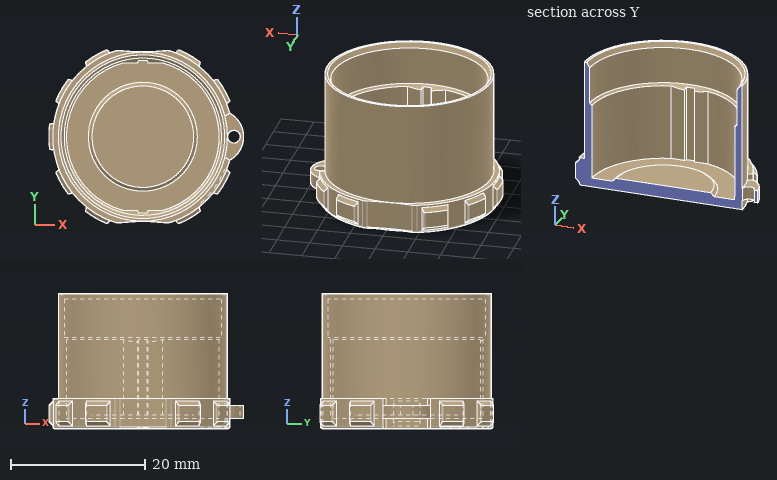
import cadquery as cq
import math

HEIGHT = 20.1
SLEEVE_RADIUS = 12.57
SOCKET_RADIUS = 11.7
RIM_RADIUS = 12.17
RIM_CHAMFER_HEIGHT = 0.8
BORE_RADIUS = 11.35
STEP_Z = 13.6
STEP_CONE_INNER_RADIUS = 10.0
FLOOR_Z = 1.5

DISC_BASE_RADIUS = 8.1
DISC_TOP_RADIUS = 7.55

PAD_DISTANCE = 10.97
KEYWAY_WIDTH = 1.26
KEYWAY_MOUTH_WIDTH = 1.6

RING_RADIUS = 13.4
RING_HEIGHT = 4.5
RING_BOTTOM_FILLET = 0.3
SCOOP_RADIUS = 30.0
SCOOP_DISTANCE = 12.62
SCOOP_EDGE_FILLET = 1.75

LUG_RADIUS = 14.0
LUG_ROOT_RADIUS = 13.0
LUG_ANGLES = [30, 60, 120, 150, 180, 210, 240, 300, 330]
LUG_HALF_WIDTH = 1.88
LUG_DRAFT = 10.0
LUG_BOTTOM_Z = 0.45
LUG_TOP_Z = 4.1
LUG_CORNER_FILLET = 0.15

TAB_CENTER_X = 11.0
TAB_RADIUS = 4.0
TAB_BOTTOM_Z = 1.5
TAB_TOP_Z = 3.5
TAB_HOLE_X = 13.54
TAB_HOLE_DIAMETER = 1.85
GAP_EDGE_ANGLE = 30.0


def cylinder(radius, z_bottom, z_top, x=0.0, y=0.0):
    return (
        cq.Workplane("XY", origin=(x, y, z_bottom))
        .circle(radius)
        .extrude(z_top - z_bottom)
    )


def gap_wedge():
    """Wedge open toward +X whose sides meet the tab outline on the ring's rim."""
    corner_x = (RING_RADIUS**2 + TAB_CENTER_X**2 - TAB_RADIUS**2) / (2 * TAB_CENTER_X)
    corner_y = math.sqrt(RING_RADIUS**2 - corner_x**2)
    slope = math.tan(math.radians(GAP_EDGE_ANGLE))
    apex_x = corner_x - corner_y / slope
    far_x = LUG_RADIUS + TAB_RADIUS
    far_y = (far_x - apex_x) * slope
    return (
        cq.Workplane("XY")
        .polyline([(apex_x, 0), (far_x, -far_y), (far_x, far_y)])
        .close()
        .extrude(RING_HEIGHT)
    )


def grip_ring():
    ring = cylinder(RING_RADIUS, 0, RING_HEIGHT)
    for side in (1, -1):
        scoop_y = side * (SCOOP_DISTANCE + SCOOP_RADIUS)
        ring = ring.cut(cylinder(SCOOP_RADIUS, 0, RING_HEIGHT, y=scoop_y))
    scoop_edges = cq.selectors.BoxSelector(
        (-SLEEVE_RADIUS, -RING_RADIUS, 0), (SLEEVE_RADIUS, RING_RADIUS, RING_HEIGHT)
    )
    ring = ring.edges("|Z").edges(scoop_edges).fillet(SCOOP_EDGE_FILLET)
    ring = ring.faces("<Z").edges().fillet(RING_BOTTOM_FILLET)
    return ring.cut(gap_wedge())


def lug():
    """One lug at +X: drafted sides, rounded outer face, 45 degree top and bottom."""
    spread = math.tan(math.radians(LUG_DRAFT))
    root_half_width = LUG_HALF_WIDTH + (LUG_RADIUS - LUG_ROOT_RADIUS) * spread
    corner_x = math.sqrt(LUG_RADIUS**2 - LUG_HALF_WIDTH**2)
    block = (
        cq.Workplane("XY", origin=(0, 0, LUG_BOTTOM_Z))
        .moveTo(LUG_ROOT_RADIUS, -root_half_width)
        .lineTo(corner_x, -LUG_HALF_WIDTH)
        .threePointArc((LUG_RADIUS, 0), (corner_x, LUG_HALF_WIDTH))
        .lineTo(LUG_ROOT_RADIUS, root_half_width)
        .close()
        .extrude(LUG_TOP_Z - LUG_BOTTOM_Z)
    )
    block = block.edges("|Z").edges(">X").fillet(LUG_CORNER_FILLET)
    rise = LUG_RADIUS - RING_RADIUS
    envelope = (
        cq.Workplane("XZ")
        .polyline([
            (0, LUG_BOTTOM_Z),
            (RING_RADIUS, LUG_BOTTOM_Z),
            (LUG_RADIUS, LUG_BOTTOM_Z + rise),
            (LUG_RADIUS, LUG_TOP_Z - rise),
            (RING_RADIUS, LUG_TOP_Z),
            (0, LUG_TOP_Z),
        ])
        .close()
        .revolve(360, (0, 0, 0), (0, 1, 0))
    )
    return block.intersect(envelope)


def keyed_pad(side):
    """Material left in the lower bore beyond the pad face, less the keyway."""
    pad = (
        cq.Workplane("XY", origin=(0, 0, FLOOR_Z))
        .rect(2 * BORE_RADIUS, 2 * (BORE_RADIUS - PAD_DISTANCE))
        .extrude(STEP_Z - FLOOR_Z)
        .translate((0, side * BORE_RADIUS, 0))
    )
    keyway = (
        cq.Workplane("XY", origin=(0, 0, FLOOR_Z))
        .polyline([
            (-KEYWAY_MOUTH_WIDTH / 2, side * PAD_DISTANCE),
            (KEYWAY_MOUTH_WIDTH / 2, side * PAD_DISTANCE),
            (KEYWAY_WIDTH / 2, side * BORE_RADIUS),
            (-KEYWAY_WIDTH / 2, side * BORE_RADIUS),
        ])
        .close()
        .extrude(STEP_Z - FLOOR_Z)
    )
    return pad.cut(keyway)


def socket_cavity():
    """Upper bore with its mouth chamfer, ending in the conical step.

    The cone runs on inward past the pad faces, so it also trims the pad tops.
    """
    cone_bottom_z = STEP_Z - (SOCKET_RADIUS - STEP_CONE_INNER_RADIUS)
    return (
        cq.Workplane("XZ")
        .polyline([
            (0, cone_bottom_z),
            (STEP_CONE_INNER_RADIUS, cone_bottom_z),
            (SOCKET_RADIUS, STEP_Z),
            (SOCKET_RADIUS, HEIGHT - RIM_CHAMFER_HEIGHT),
            (RIM_RADIUS, HEIGHT),
            (0, HEIGHT),
        ])
        .close()
        .revolve(360, (0, 0, 0), (0, 1, 0))
    )


def bore_cavity():
    """Lower bore from the floor up into the conical step, less pads and floor disc."""
    bore = cylinder(BORE_RADIUS, FLOOR_Z, STEP_Z)
    for side in (1, -1):
        bore = bore.cut(keyed_pad(side))
    disc_height = DISC_BASE_RADIUS - DISC_TOP_RADIUS
    disc = (
        cq.Workplane("XZ")
        .polyline([
            (0, FLOOR_Z),
            (DISC_BASE_RADIUS, FLOOR_Z),
            (DISC_TOP_RADIUS, FLOOR_Z + disc_height),
            (0, FLOOR_Z + disc_height),
        ])
        .close()
        .revolve(360, (0, 0, 0), (0, 1, 0))
    )
    return bore.cut(disc)


def tab():
    disc = cylinder(TAB_RADIUS, TAB_BOTTOM_Z, TAB_TOP_Z, x=TAB_CENTER_X)
    return disc.intersect(gap_wedge())


result = grip_ring().union(cylinder(SLEEVE_RADIUS, 0, HEIGHT)).union(tab())
single_lug = lug()
for angle in LUG_ANGLES:
    result = result.union(single_lug.rotate((0, 0, 0), (0, 0, 1), angle))
result = result.cut(bore_cavity()).cut(socket_cavity())
result = result.cut(cylinder(TAB_HOLE_DIAMETER / 2, TAB_BOTTOM_Z, TAB_TOP_Z, x=TAB_HOLE_X))